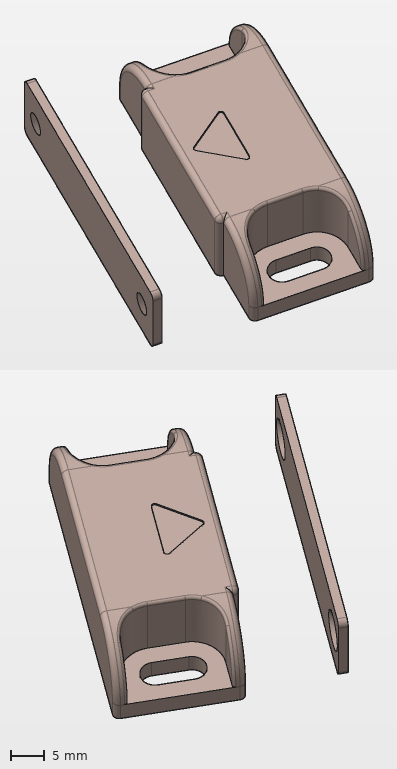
import cadquery as cq
import math

length = 48.0
depth = 20.0
height = 13.0
ear_floor = 3.0
ear_radius = height - ear_floor
core_half_length = length / 2 - ear_radius
edge_radius = 1.0
end_x = length / 2
front_y = -depth
mid_y = -depth / 2

bulge = 1.0

pocket_depth = 10.1
pocket_width = 15.8
pocket_corner_radius = 5.05
pocket_edge_radius = 0.5
slot_spacing = 38.0
slot_width = 4.4
slot_length = 10.05

arrow_width = 11.05
arrow_height = 7.25
arrow_back_y = -11.55
arrow_corner_radius = 0.5
arrow_engraving = 0.3

plate_length = 46.0
plate_height = 12.0
plate_thickness = 1.5
plate_gap = 13.0
plate_corner_radius = 1.0
plate_hole_diameter = 3.5
countersink_diameter = 6.3
plate_back_y = front_y - bulge - plate_gap

selection_tolerance = 0.005


def make_ear_block():
    """Prism along Y whose two upper ends are quarter rounds."""
    arc_mid = ear_radius * math.sqrt(0.5)
    return (
        cq.Workplane("XZ")
        .moveTo(-end_x, 0)
        .lineTo(-end_x, ear_floor)
        .threePointArc((-core_half_length - arc_mid, ear_floor + arc_mid), (-core_half_length, height))
        .lineTo(core_half_length, height)
        .threePointArc((core_half_length + arc_mid, ear_floor + arc_mid), (end_x, ear_floor))
        .lineTo(end_x, 0)
        .close()
        .extrude(depth)
    )


def make_bulge():
    """Core block reaching past the front face, with rounded front and top edges."""
    block = (
        cq.Workplane("XY", origin=(0, front_y - bulge, 0))
        .box(2 * core_half_length, 2 * edge_radius + bulge, height, centered=(True, False, False))
    )
    return block.edges("(|Z and <Y) or (|X and <Y and >Z) or (|Y and >Z)").fillet(edge_radius)


def make_pocket(side):
    """Cutter for the ear pocket at the -X (side = -1) or +X (side = 1) end."""
    return (
        cq.Workplane("XY", origin=(side * (end_x - pocket_depth / 2), mid_y, ear_floor))
        .box(pocket_depth, pocket_width, height, centered=(True, True, False))
        .edges("|Z and <X" if side > 0 else "|Z and >X")
        .fillet(pocket_corner_radius)
    )


def is_pocket_rim(edge):
    """True for an upper pocket edge, as opposed to the floor, outer edges or the start of the ear curve."""
    center = edge.Center()
    within_pocket_width = abs(center.y - mid_y) < pocket_width / 2 + selection_tolerance
    within_ear = abs(center.x) > end_x - pocket_depth - selection_tolerance
    on_curve_start = abs(abs(center.x) - core_half_length) < selection_tolerance
    above_floor = center.z > ear_floor + selection_tolerance
    return within_pocket_width and within_ear and above_floor and not on_curve_start


def make_slots():
    """Cutters for the screw slots through the ear floors."""
    return (
        cq.Workplane("XY")
        .pushPoints([(-slot_spacing / 2, mid_y), (slot_spacing / 2, mid_y)])
        .slot2D(slot_length, slot_width, 90)
        .extrude(ear_floor)
    )


def make_arrow():
    """Cutter for the engraved triangle pointing to -Y."""
    return (
        cq.Workplane("XY", origin=(0, arrow_back_y, height - arrow_engraving))
        .moveTo(-arrow_width / 2, 0)
        .lineTo(arrow_width / 2, 0)
        .lineTo(0, -arrow_height)
        .close()
        .extrude(arrow_engraving)
        .edges("|Z")
        .fillet(arrow_corner_radius)
    )


def make_housing():
    body = make_ear_block().faces("<Y or >Y").edges("not <Z").fillet(edge_radius)
    for side in (-1, 1):
        body = body.cut(make_pocket(side))
    rim = body.edges("not |Z").filter(is_pocket_rim)
    body = rim.fillet(pocket_edge_radius)
    return body.union(make_bulge()).cut(make_slots()).cut(make_arrow())


def make_countersinks():
    """Cutters for the plate's screw holes: cones that open wide at the back of the plate."""
    cone = cq.Solid.makeCone(
        countersink_diameter / 2,
        plate_hole_diameter / 2,
        plate_thickness,
        pnt=cq.Vector(0, plate_back_y, height / 2),
        dir=cq.Vector(0, -1, 0),
    )
    left_cone = cq.Workplane(cone.translate(cq.Vector(-slot_spacing / 2, 0, 0)))
    return left_cone.add(cone.translate(cq.Vector(slot_spacing / 2, 0, 0))).combine()


def make_plate():
    plate = (
        cq.Workplane("XZ", origin=(0, plate_back_y, height / 2))
        .rect(plate_length, plate_height)
        .extrude(plate_thickness)
        .edges("|Y")
        .fillet(plate_corner_radius)
    )
    return plate.cut(make_countersinks())


housing = make_housing()
plate = make_plate()
result = cq.Compound.makeCompound([housing.val(), plate.val()])